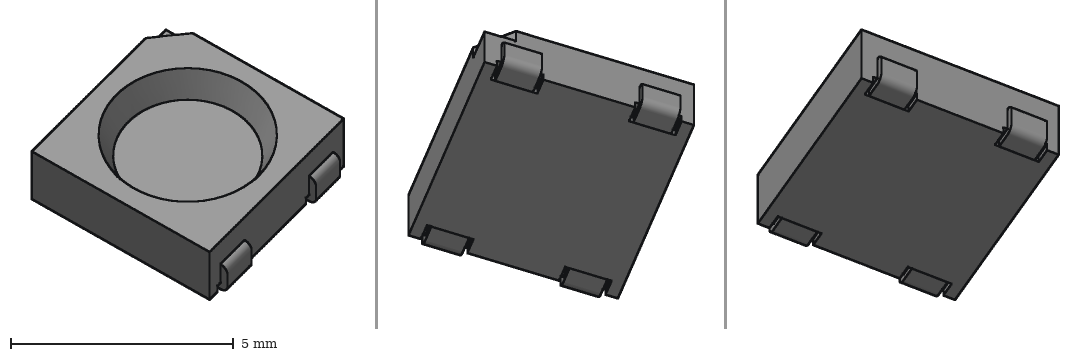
import cadquery as cq
import math

overall_length = 5.4
housing_side = 5.0
housing_height = 1.62

cup_top_diameter = 4.0
cup_floor_diameter = 3.35
cup_depth = 0.7

notch_leg = 0.75
notch_depth = 0.4

lead_thickness = (overall_length - housing_side) / 2
lead_width = 0.9
lead_edge_margin = 0.4
lead_top = 0.85
foot_length = 0.4
lead_offset = housing_side / 2 - lead_edge_margin - lead_width / 2

slot_side_gap = 0.1
slot_width = lead_width + 2 * slot_side_gap
slot_height = lead_thickness

half_side = housing_side / 2
half_length = overall_length / 2


def make_cup():
    """Tapered round recess, narrowing from the top face to its flat floor."""
    return (
        cq.Workplane("XY")
        .workplane(offset=housing_height - cup_depth)
        .circle(cup_floor_diameter / 2)
        .workplane(offset=cup_depth)
        .circle(cup_top_diameter / 2)
        .loft(ruled=True)
    )


def make_notch():
    """Triangular step at the -X, +Y corner of the top face."""
    return (
        cq.Workplane("XY")
        .workplane(offset=housing_height - notch_depth)
        .moveTo(-half_side, half_side)
        .lineTo(-half_side, half_side - notch_leg)
        .lineTo(-half_side + notch_leg, half_side)
        .close()
        .extrude(notch_depth)
    )


def make_slot(side, y):
    """Foot slot, open to the bottom and to the housing wall on the given X side."""
    return (
        cq.Workplane("XY")
        .center(side * (half_side - foot_length / 2), y)
        .rect(foot_length, slot_width)
        .extrude(slot_height)
    )


def make_housing(lead_places):
    """Square block with the cup, the corner notch and one foot slot per lead."""
    housing = cq.Workplane("XY").rect(housing_side, housing_side).extrude(housing_height)
    housing = housing.cut(make_cup()).cut(make_notch())
    for side, y in lead_places:
        housing = housing.cut(make_slot(side, y))
    return housing


def make_lead(side, y):
    """Upright strip against the housing wall, rounded outside, with a foot turned inward."""
    wall = side * half_side
    outside = side * half_length
    foot_end = side * (half_side - foot_length)
    arc_reach = lead_thickness * math.sin(math.radians(45))
    arc_x = wall + side * arc_reach
    upper_bend = lead_top - lead_thickness
    return (
        cq.Workplane("XZ", origin=(0, y + lead_width / 2, 0))
        .moveTo(foot_end, 0)
        .lineTo(wall, 0)
        .threePointArc((arc_x, lead_thickness - arc_reach), (outside, lead_thickness))
        .lineTo(outside, upper_bend)
        .threePointArc((arc_x, upper_bend + arc_reach), (wall, lead_top))
        .lineTo(wall, lead_thickness)
        .lineTo(foot_end, lead_thickness)
        .close()
        .extrude(lead_width)
    )


lead_places = [(side, y) for side in (-1, 1) for y in (-lead_offset, lead_offset)]

housing = make_housing(lead_places)
leads = [make_lead(side, y) for side, y in lead_places]

result = cq.Compound.makeCompound([housing.val(), *[lead.val() for lead in leads]])